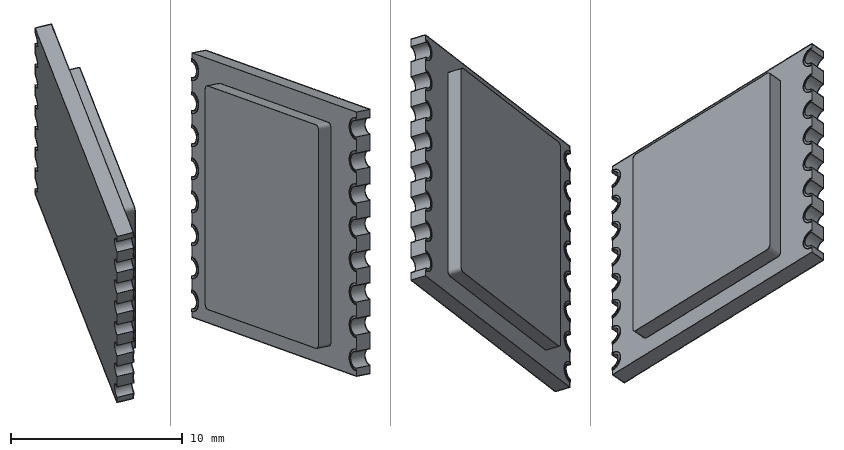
import cadquery as cq

board_side = 16.0
total_depth = 1.9

notches_per_edge = 8
notch_pitch = board_side / notches_per_edge
notch_radius = notch_pitch / 4

board_thickness = 2 * notch_radius

pad_rim = 0.15
pad_radius = notch_radius + pad_rim
pad_thickness = 0.05
pad_top_y = board_thickness + pad_thickness

can_width = 11.0
can_height = 13.54
can_corner_radius = 0.25

first_notch_z = -(board_side - notch_pitch) / 2
notch_centres = [
    (edge_x, first_notch_z + row * notch_pitch)
    for edge_x in (-board_side / 2, board_side / 2)
    for row in range(notches_per_edge)
]


def block(width, height, y_start, y_end):
    """Box centred on X and Z that spans y_start to y_end."""
    depth = y_end - y_start
    return cq.Workplane("XY").box(width, depth, height).translate((0, y_start + depth / 2, 0))


def edge_discs(radius, y_start, y_end):
    """Discs at every notch centre that span y_start to y_end."""
    plane = cq.Workplane("XZ", origin=(0, y_start, 0))
    return plane.pushPoints(notch_centres).circle(radius).extrude(y_start - y_end)


def make_board():
    return block(board_side, board_side, 0, board_thickness)


def make_can():
    """Plain block with its four corners along Y rounded."""
    can = block(can_width, can_height, board_thickness, total_depth)
    return can.edges("|Y").fillet(can_corner_radius)


def make_pads():
    """Pad discs trimmed flush with the board's outline."""
    discs = edge_discs(pad_radius, board_thickness, pad_top_y)
    return discs.intersect(block(board_side, board_side, board_thickness, pad_top_y))


def make_notches():
    """Cutters through the board and its pads."""
    return edge_discs(notch_radius, 0, pad_top_y)


result = make_board().union(make_can()).union(make_pads()).cut(make_notches())